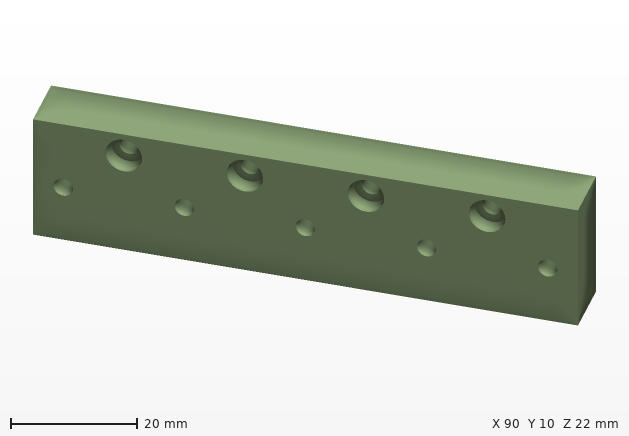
import cadquery as cq

LENGTH = 90.0
THICKNESS = 10.0
HEIGHT = 22.0

HOLE_PITCH = 20.0
HOLE_DIAMETER = 3.2

PLAIN_COUNT = 5
PLAIN_HEIGHT = 10.0

BORE_COUNT = PLAIN_COUNT - 1
BORE_DROP = 4.0
BORE_HEIGHT = HEIGHT - BORE_DROP
BORE_DIAMETER = 6.0
BORE_DEPTH = 3.0


def row_positions(count, height):
    """Evenly pitched (X, Z) hole centres, centred on the block's length."""
    first_x = -(count - 1) * HOLE_PITCH / 2
    return [(first_x + i * HOLE_PITCH, height) for i in range(count)]


def make_block():
    return cq.Workplane("XY").box(LENGTH, THICKNESS, HEIGHT, centered=(True, False, False))


def front_holes(centres, diameter, depth):
    """Cylinders reaching from the front face (Y = 0) into the block along +Y."""
    return cq.Workplane("XZ").pushPoints(centres).circle(diameter / 2).extrude(-depth)


plain_centres = row_positions(PLAIN_COUNT, PLAIN_HEIGHT)
bore_centres = row_positions(BORE_COUNT, BORE_HEIGHT)

result = (
    make_block()
    .cut(front_holes(plain_centres + bore_centres, HOLE_DIAMETER, THICKNESS))
    .cut(front_holes(bore_centres, BORE_DIAMETER, BORE_DEPTH))
)